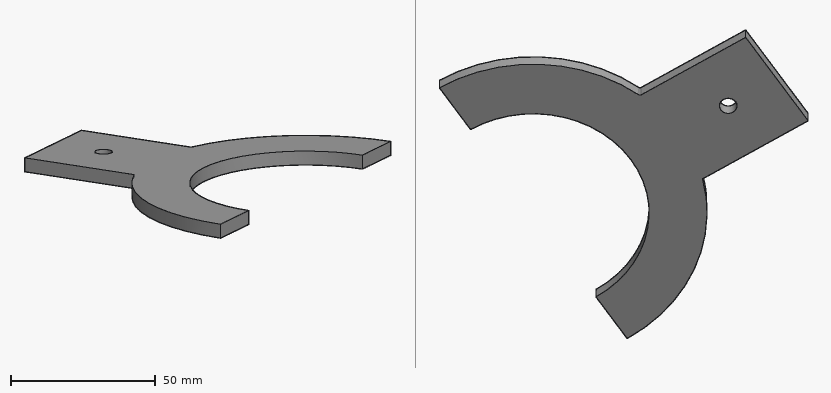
import cadquery as cq
import math

outer_radius = 60.0
inner_radius = outer_radius * 2 / 3
thickness = 5.0
tab_width = 40.0
tab_end = 100.0
corner_fillet = 0.6
hole_diameter = 6.0
hole_distance = tab_end - tab_width / 2


def half_disc(radius):
    """Half disc on the -X side of the ring centre."""
    return (
        cq.Workplane("XY")
        .moveTo(0, radius)
        .threePointArc((-radius, 0), (0, -radius))
        .close()
        .extrude(thickness)
    )


tab = (
    cq.Workplane("XY")
    .center(-tab_end / 2, 0)
    .rect(tab_end, tab_width)
    .extrude(thickness)
)

hole = (
    cq.Workplane("XY")
    .center(-hole_distance, 0)
    .circle(hole_diameter / 2)
    .extrude(thickness)
)

result = half_disc(outer_radius).union(tab).cut(half_disc(inner_radius)).cut(hole)

corner_x = -math.sqrt(outer_radius**2 - (tab_width / 2) ** 2)
for side in (-1, 1):
    corner = (corner_x, side * tab_width / 2, thickness / 2)
    result = result.edges(cq.selectors.NearestToPointSelector(corner)).fillet(corner_fillet)